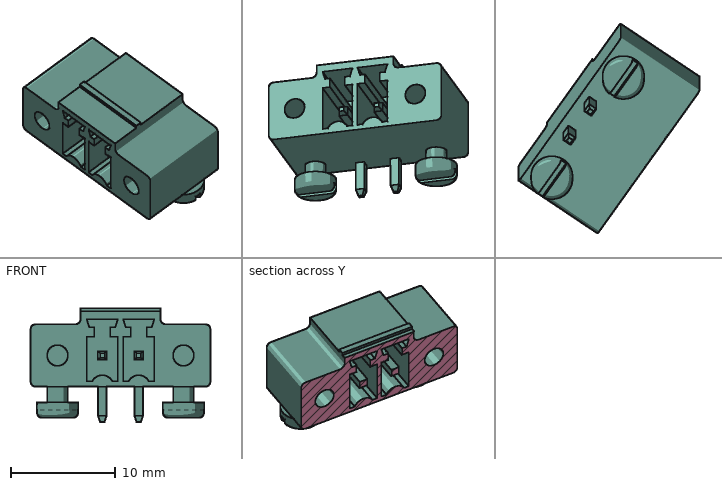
import cadquery as cq

housing_width = 17.3
housing_depth = 9.2
shoulder_height = 6.0
tower_width = 7.7
tower_height = 7.25
edge_radius = 0.5
front_y = -housing_depth / 2

rib_depth = 0.6
rib_height = 0.3
rib_y = -1.4

pitch = 3.5
contact_positions = [-pitch / 2, pitch / 2]
cavity_depth = 7.5
cavity_width = 3.0
cavity_floor = 0.5
cavity_ceiling = 4.8
neck_width = 1.5
neck_top = 5.7
dovetail_bottom_width = 2.5
dovetail_top = 6.5
floor_ridge_radius = 1.1

pin_size = 0.85
pin_tip_size = 0.43
pin_tip_length = 0.6
axis_height = 3.0
contact_inset = 1.4
solder_leg_y = 3.4
solder_leg_bottom = -3.4

flange_spacing = 12.1
flange_positions = [-flange_spacing / 2, flange_spacing / 2]
flange_hole_diameter = 2.0
flange_hole_depth = 5.0
screw_y = 2.5
screw_shank_diameter = 2.0
screw_head_diameter = 4.0
screw_head_top = -1.5
screw_head_height = 1.5
screw_head_radius = 0.5
screw_slot_width = 0.6
screw_slot_depth = 0.8


def make_housing():
    """Flanged block with a central tower, rounded along its outer and inner edges."""
    flanges = cq.Workplane("XY").box(
        housing_width, housing_depth, shoulder_height, centered=(True, True, False)
    )
    flanges = flanges.edges("|Y").fillet(edge_radius)
    tower = cq.Workplane("XY").box(
        tower_width, housing_depth, tower_height, centered=(True, True, False)
    )
    body = flanges.union(tower)
    inner_corners = cq.selectors.BoxSelector(
        (-tower_width, -housing_depth, shoulder_height - edge_radius / 2),
        (tower_width, housing_depth, shoulder_height + edge_radius / 2),
    )
    body = body.edges("|Y").edges(inner_corners).fillet(edge_radius)
    rib = (
        cq.Workplane("XY")
        .box(tower_width, rib_depth, rib_height, centered=(True, True, False))
        .translate((0, rib_y, tower_height))
    )
    return body.union(rib)


def make_cavity(x):
    """Keyed plug cavity with a dovetail above a neck and a round ridge along the floor."""
    right_side = [
        (cavity_width / 2, cavity_floor),
        (cavity_width / 2, cavity_ceiling),
        (neck_width / 2, cavity_ceiling),
        (neck_width / 2, neck_top),
        (dovetail_bottom_width / 2, neck_top),
        (cavity_width / 2, dovetail_top),
    ]
    left_side = [(-across, height) for across, height in reversed(right_side)]
    mating_face = cq.Workplane("XZ", origin=(x, front_y, 0))
    cavity = mating_face.polyline(right_side + left_side).close().extrude(-cavity_depth)
    ridge = mating_face.circle(floor_ridge_radius).extrude(-cavity_depth)
    return cavity.cut(ridge)


def make_leg(start, direction, length):
    """Square pin from start along direction, ending in a tapered tip."""
    plane = cq.Plane(origin=start, xDir=(1, 0, 0), normal=direction)
    straight_length = length - pin_tip_length
    straight = cq.Workplane(plane).rect(pin_size, pin_size).extrude(straight_length)
    tip = (
        cq.Workplane(plane)
        .workplane(offset=straight_length)
        .rect(pin_size, pin_size)
        .workplane(offset=pin_tip_length)
        .rect(pin_tip_size, pin_tip_size)
        .loft()
    )
    return straight.union(tip)


def make_contact(x):
    """Right-angle contact whose two legs meet inside the rear wall."""
    bend = (x, solder_leg_y, axis_height)
    contact_leg = make_leg(bend, (0, -1, 0), solder_leg_y - front_y - contact_inset)
    solder_leg = make_leg(bend, (0, 0, -1), axis_height - solder_leg_bottom)
    return contact_leg.union(solder_leg)


def make_flange_hole(x):
    """Blind hole into the mating face of one flange."""
    return (
        cq.Workplane("XZ", origin=(x, front_y, axis_height))
        .circle(flange_hole_diameter / 2)
        .extrude(-flange_hole_depth)
    )


def make_screw(x):
    """Slotted screw under one flange, head downward."""
    shank = (
        cq.Workplane("XY", origin=(x, screw_y, screw_head_top))
        .circle(screw_shank_diameter / 2)
        .extrude(-screw_head_top)
    )
    head = (
        cq.Workplane("XY", origin=(x, screw_y, screw_head_top))
        .circle(screw_head_diameter / 2)
        .extrude(-screw_head_height)
        .faces("<Z")
        .edges()
        .fillet(screw_head_radius)
    )
    slot = (
        cq.Workplane("XY")
        .box(screw_head_diameter, screw_slot_width, screw_slot_depth, centered=(True, True, False))
        .translate((x, screw_y, screw_head_top - screw_head_height))
    )
    return shank.union(head).cut(slot)


result = make_housing()
for contact_x in contact_positions:
    result = result.cut(make_cavity(contact_x)).union(make_contact(contact_x))
for flange_x in flange_positions:
    result = result.cut(make_flange_hole(flange_x)).union(make_screw(flange_x))